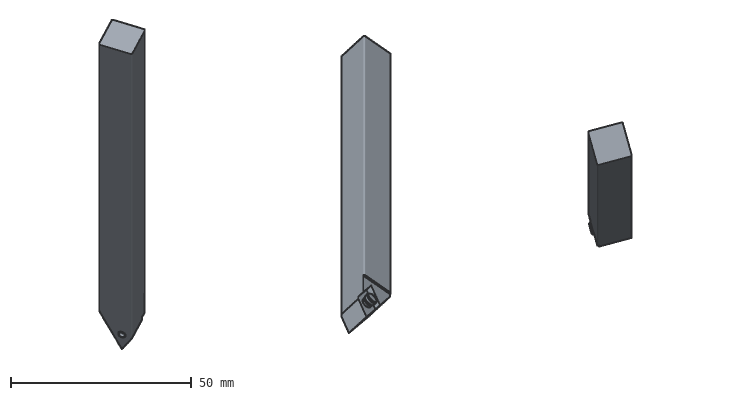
import cadquery as cq
import math

length = 124.4
side = 10.0
half = side / 2
edge_radius = 0.44

tip_x = 2.0
tip_angle = 55.0
half_angle_tan = math.tan(math.radians(tip_angle / 2))

relief_height = 14.4
relief_y = 4.5
seat_y = 2.5
seat_mid_z = 6.2
seat_half_width = seat_mid_z * half_angle_tan

screw_z = seat_mid_z
head_radius = 1.7
screw_projection = 0.1
head_top_y = half + screw_projection
head_bottom_y = 3.9
head_chamfer = 0.31
neck_y = 3.2
neck_radius = 1.5
stem_radius = 1.1
stem_end_y = -head_top_y
socket_radius = 0.9
socket_depth = 1.2


def xz_prism(points, y_from, y_to):
    """Extrude an XZ outline from y_from up to y_to."""
    plane = cq.Workplane("XZ", origin=(0, y_from, 0))
    return plane.polyline(points).close().extrude(y_from - y_to)


def y_cylinder(radius, y_from, y_to):
    """Cylinder on the screw axis from y_from up to y_to."""
    plane = cq.Workplane("XZ", origin=(tip_x, y_from, screw_z))
    return plane.circle(radius).extrude(y_from - y_to)


def make_holder():
    """Square bar with a V point, back relief, insert seat and screw hole."""
    bar = cq.Workplane("XY").rect(side, side).extrude(length).edges("|Z").fillet(edge_radius)

    point_outline = [
        (tip_x, 0),
        (half, (half - tip_x) / half_angle_tan),
        (half, length),
        (-half, length),
        (-half, (half + tip_x) / half_angle_tan),
    ]
    bar = bar.intersect(xz_prism(point_outline, -half, half))

    relief = cq.Workplane("XY").box(side, half - relief_y, relief_height, centered=(True, False, False))
    bar = bar.cut(relief.translate((0, relief_y, 0)))

    seat_outline = [
        (tip_x, 0),
        (tip_x + seat_half_width, seat_mid_z),
        (tip_x, 2 * seat_mid_z),
        (tip_x - seat_half_width, seat_mid_z),
    ]
    bar = bar.cut(xz_prism(seat_outline, seat_y, half))
    return bar.cut(y_cylinder(stem_radius, -half, seat_y))


def make_screw():
    """Screw with a chamfered head, tapered neck, collar in the seat and thinner socketed stem."""
    profile = [
        (0, stem_end_y + socket_depth),
        (socket_radius, stem_end_y + socket_depth),
        (socket_radius, stem_end_y),
        (stem_radius, stem_end_y),
        (stem_radius, seat_y),
        (neck_radius, seat_y),
        (neck_radius, neck_y),
        (head_radius, head_bottom_y),
        (head_radius, head_top_y - head_chamfer),
        (head_radius - head_chamfer, head_top_y),
        (0, head_top_y),
    ]
    turned = cq.Workplane("XY").polyline(profile).close().revolve(360, (0, 0, 0), (0, 1, 0))
    return turned.translate((tip_x, 0, screw_z))


holder = make_holder()
screw = make_screw()
result = cq.Compound.makeCompound([holder.val(), screw.val()])